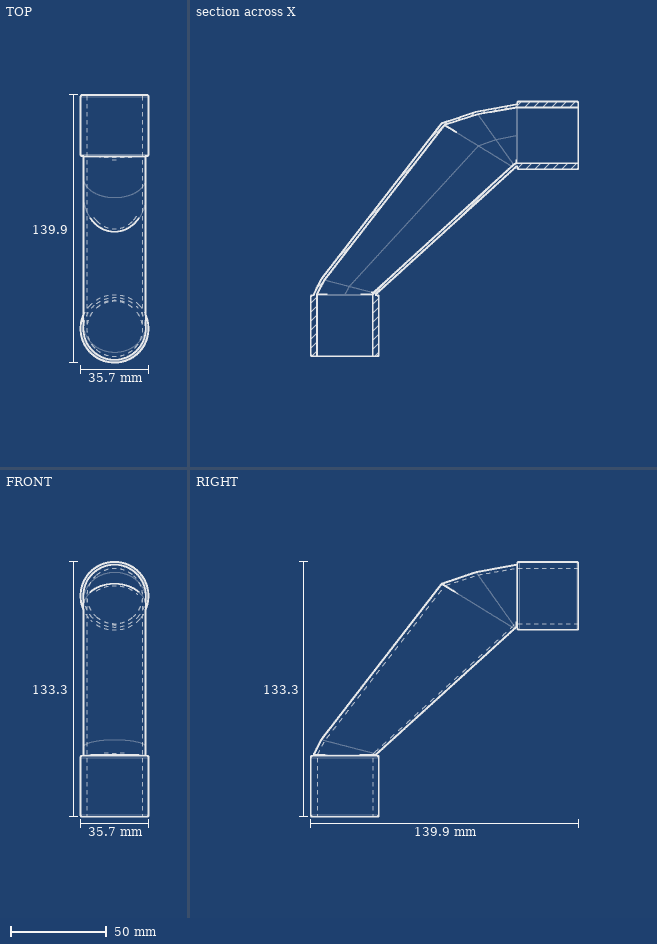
import cadquery as cq

collar_diameter = 35.65
collar_length = 32.0
collar_edge_radius = 1.0

pipe_diameter = 32.6
bore_diameter = 29.0

overall_y = 139.9
overall_z = 133.3

collar_radius = collar_diameter / 2
pipe_radius = pipe_diameter / 2
wall = (pipe_diameter - bore_diameter) / 2
reach = overall_y - collar_length - collar_radius
rise = overall_z - collar_length - collar_radius

stub_length = 0.5
inner_step = 0.4
foot_outer = (-12.3, 8.4)
elbow_outer = (50.6, 89.8)
shoulder_outer = (68.5, 95.9)

upper_stub_y = reach - stub_length
upper_inner_z = rise - pipe_radius
foot_inner = (pipe_radius + inner_step, stub_length + inner_step)
elbow_inner = (upper_stub_y - 2 * inner_step, upper_inner_z - 2 * inner_step)
shoulder_inner = (upper_stub_y - inner_step, upper_inner_z - inner_step)

pipe_sections = [
    ((-pipe_radius, 0), (pipe_radius, 0)),
    ((-pipe_radius, stub_length), (pipe_radius, stub_length)),
    (foot_outer, foot_inner),
    (elbow_outer, elbow_inner),
    (shoulder_outer, shoulder_inner),
    ((upper_stub_y, rise + pipe_radius), (upper_stub_y, upper_inner_z)),
    ((reach, rise + pipe_radius), (reach, upper_inner_z)),
]


def section_wire(outer, inner, inset):
    """Ellipse spanning the pipe from outer to inner side, made smaller by inset all round."""
    outer_point = cq.Vector(0, *outer)
    inner_point = cq.Vector(0, *inner)
    across = inner_point - outer_point
    centre = (outer_point + inner_point) * 0.5
    normal = cq.Vector(1, 0, 0).cross(across)
    half_span = across.Length / 2 - inset
    half_width = pipe_radius - inset
    return cq.Wire.makeEllipse(half_span, half_width, centre, normal, across, rotation_angle=0)


def bent_rod(inset):
    """Solid bend through all the pipe sections, each made smaller by inset."""
    wires = [section_wire(outer, inner, inset) for outer, inner in pipe_sections]
    return cq.Workplane(cq.Solid.makeLoft(wires, True))


def end_cylinders(diameter):
    """Collar-length cylinders at the two pipe ends, one down -Z and one along +Y."""
    lower = cq.Workplane("XY").circle(diameter / 2).extrude(-collar_length)
    upper_start = cq.Workplane("XZ", origin=(0, reach, rise))
    upper = upper_start.circle(diameter / 2).extrude(-collar_length)
    return lower, upper


body = bent_rod(0)
for collar in end_cylinders(collar_diameter):
    body = body.union(collar.edges("%CIRCLE").fillet(collar_edge_radius))

body = body.cut(bent_rod(wall))
for collar_bore in end_cylinders(bore_diameter):
    body = body.cut(collar_bore)

result = body